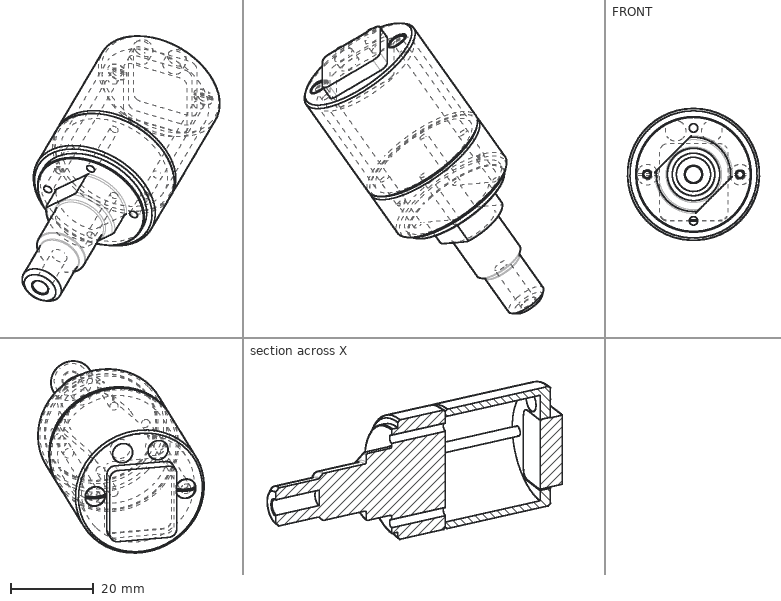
import cadquery as cq
import math


overall_length = 79.0
tip_seat_end = 11.95
wrench_start = 25.0
flange_start = 32.0
cap_start = 33.7
joint = 46.8
housing_end = 75.8

tip_diameter = 10.29
stem_diameter = 12.7
wrench_diameter = 18.0
wrench_across_flats = 14.0
wrench_flat_angle = 45.0
flange_diameter = 28.0
case_diameter = 32.0

tip_chamfer = 1.0
shoulder_fillet = 0.4
root_fillet = 0.4
wrench_edge_fillet = 0.5
flange_chamfer = 0.2
case_chamfer = 0.6
joint_chamfer = 0.5

port_diameter = 4.0
port_depth = 12.0
port_chamfer = 0.2

cap_hole_diameter = 2.05
cap_hole_circle_radius = 11.25
cap_hole_count = 4

cavity_diameter = 28.0
end_wall = 3.0

connector_width = 16.6
connector_top = 7.5
connector_bottom = -11.05
connector_corner_radius = 2.0
connector_gap = 0.2

screw_shank_diameter = 2.5
screw_thread_engagement = 8.0
screw_point_chamfer = 0.45
screw_head_diameter = 5.0
screw_head_height = 1.05
screw_head_rim = 0.2
screw_slot_width = 0.5

lamp_diameter = 5.0
lamp_height = 2.0
lamp_circle_radius = 11.5
lamp_angle = 22.5

shoulder_end = tip_seat_end + (stem_diameter - tip_diameter) / 2
wall_inner_face = housing_end - end_wall
screw_end = joint - screw_thread_engagement


def axial_cylinder(diameter, start, end, x=0.0, z=0.0):
    """Cylinder parallel to Y between two stations."""
    solid = cq.Solid.makeCylinder(diameter / 2, end - start, cq.Vector(x, start, z), cq.Vector(0, 1, 0))
    return cq.Workplane(obj=solid)


def cap_hole_centres():
    step = 2 * math.pi / cap_hole_count
    angles = [i * step for i in range(cap_hole_count)]
    return [(cap_hole_circle_radius * math.cos(a), cap_hole_circle_radius * math.sin(a)) for a in angles]


screw_centres = [(side * cap_hole_circle_radius, 0.0) for side in (-1, 1)]
lamp_x = lamp_circle_radius * math.sin(math.radians(lamp_angle))
lamp_z = lamp_circle_radius * math.cos(math.radians(lamp_angle))
lamp_centres = [(side * lamp_x, lamp_z) for side in (-1, 1)]


def make_wrench_collar():
    """Round collar with two parallel flats, rounded at the free edge and flared at its root."""
    radius = wrench_diameter / 2
    collar = (
        cq.Workplane("XY")
        .moveTo(0, wrench_start)
        .lineTo(radius - wrench_edge_fillet, wrench_start)
        .radiusArc((radius, wrench_start + wrench_edge_fillet), -wrench_edge_fillet)
        .lineTo(radius, flange_start - root_fillet)
        .radiusArc((radius + root_fillet, flange_start), root_fillet)
        .lineTo(0, flange_start)
        .close()
        .revolve(360, (0, 0, 0), (0, 1, 0))
    )
    flats = (
        cq.Workplane("XY")
        .box(2 * wrench_diameter, flange_start - wrench_start, wrench_across_flats)
        .translate((0, (wrench_start + flange_start) / 2, 0))
        .rotate((0, 0, 0), (0, 1, 0), -wrench_flat_angle)
    )
    return collar.intersect(flats)


def make_stem():
    """Stepped stem with a chamfered tip, a conical shoulder and a root fillet at the wrench collar."""
    tip_radius = tip_diameter / 2
    stem_radius = stem_diameter / 2
    stem = (
        cq.Workplane("XY")
        .lineTo(tip_radius - tip_chamfer, 0)
        .lineTo(tip_radius, tip_chamfer)
        .lineTo(tip_radius, tip_seat_end)
        .lineTo(stem_radius, shoulder_end)
        .lineTo(stem_radius, wrench_start - root_fillet)
        .radiusArc((stem_radius + root_fillet, wrench_start), root_fillet)
        .lineTo(0, wrench_start)
        .close()
        .revolve(360, (0, 0, 0), (0, 1, 0))
    )
    shoulder_edges = cq.selectors.BoxSelector(
        (-case_diameter, tip_seat_end - shoulder_fillet, -case_diameter),
        (case_diameter, shoulder_end + shoulder_fillet, case_diameter),
    )
    return stem.edges(shoulder_edges).edges("%CIRCLE").fillet(shoulder_fillet)


def make_port():
    """Blind pressure port with a chamfered mouth at the tip."""
    bore = axial_cylinder(port_diameter, 0, port_depth)
    port_radius = port_diameter / 2
    mouth = cq.Solid.makeCone(
        port_radius + port_chamfer, port_radius, port_chamfer, cq.Vector(0, 0, 0), cq.Vector(0, 1, 0)
    )
    return bore.union(cq.Workplane(obj=mouth))


def make_sensor_body():
    """Stem, wrench collar, flange and cap turned from one piece."""
    flange = axial_cylinder(flange_diameter, flange_start, cap_start).faces("<Y").chamfer(flange_chamfer)
    cap = (
        axial_cylinder(case_diameter, cap_start, joint)
        .faces("<Y").chamfer(case_chamfer)
        .faces(">Y").edges().chamfer(joint_chamfer)
    )
    body = cap.union(flange).union(make_wrench_collar()).union(make_stem())
    body = body.cut(make_port())
    for x, z in cap_hole_centres():
        body = body.cut(axial_cylinder(cap_hole_diameter, flange_start, joint, x, z))
    for x, z in screw_centres:
        body = body.cut(make_screw_shank(x, z))
    return body


def connector_block(start, end, bottom):
    """Block with rounded corners along Y, from the given bottom up to the connector top."""
    return (
        cq.Workplane("XY")
        .box(connector_width, end - start, connector_top - bottom)
        .edges("|Y").fillet(connector_corner_radius)
        .translate((0, (start + end) / 2, (connector_top + bottom) / 2))
    )


def make_housing():
    """Cup open towards the cap, with openings for connector, screws and lamps in its end wall."""
    housing = (
        axial_cylinder(case_diameter, joint, housing_end)
        .faces(">Y").chamfer(case_chamfer)
        .faces("<Y").edges().chamfer(joint_chamfer)
    )
    housing = housing.cut(axial_cylinder(cavity_diameter, joint, wall_inner_face))
    housing = housing.cut(connector_block(wall_inner_face, housing_end, connector_bottom - connector_gap))
    for x, z in screw_centres:
        housing = housing.cut(axial_cylinder(screw_shank_diameter, wall_inner_face, housing_end, x, z))
    for x, z in lamp_centres:
        housing = housing.cut(axial_cylinder(lamp_diameter, wall_inner_face, housing_end, x, z))
    return housing


def make_connector():
    return connector_block(wall_inner_face, overall_length, connector_bottom)


def make_screw_shank(x, z):
    shank = axial_cylinder(screw_shank_diameter, screw_end, housing_end, x, z)
    return shank.faces("<Y").chamfer(screw_point_chamfer)


def make_screw(x, z):
    """Long tie screw with a low domed head, slotted along X down to its rim."""
    head_radius = screw_head_diameter / 2
    dome_height = screw_head_height - screw_head_rim
    dome_radius = (head_radius ** 2 + dome_height ** 2) / (2 * dome_height)
    head = (
        cq.Workplane("XY")
        .lineTo(head_radius, 0)
        .lineTo(head_radius, screw_head_rim)
        .radiusArc((0, screw_head_height), -dome_radius)
        .close()
        .revolve(360, (0, 0, 0), (0, 1, 0))
    )
    slot = cq.Workplane("XY").box(screw_head_diameter, 2 * dome_height, screw_slot_width)
    head = head.cut(slot.translate((0, screw_head_height, 0))).translate((x, housing_end, z))
    return head.union(make_screw_shank(x, z))


def make_lamp(x, z):
    """Round lamp flush with the wall's inner face, with a spherical nose behind the housing."""
    radius = lamp_diameter / 2
    nose_centre = housing_end + lamp_height - radius
    barrel = axial_cylinder(lamp_diameter, wall_inner_face, nose_centre, x, z)
    nose = cq.Workplane("XY").sphere(radius).translate((x, nose_centre, z))
    return barrel.union(nose)


sensor_body = make_sensor_body()
housing = make_housing()
connector = make_connector()
screws = [make_screw(x, z) for x, z in screw_centres]
lamps = [make_lamp(x, z) for x, z in lamp_centres]

result = cq.Compound.makeCompound(
    [sensor_body.val(), housing.val(), connector.val()]
    + [screw.val() for screw in screws]
    + [lamp.val() for lamp in lamps]
)